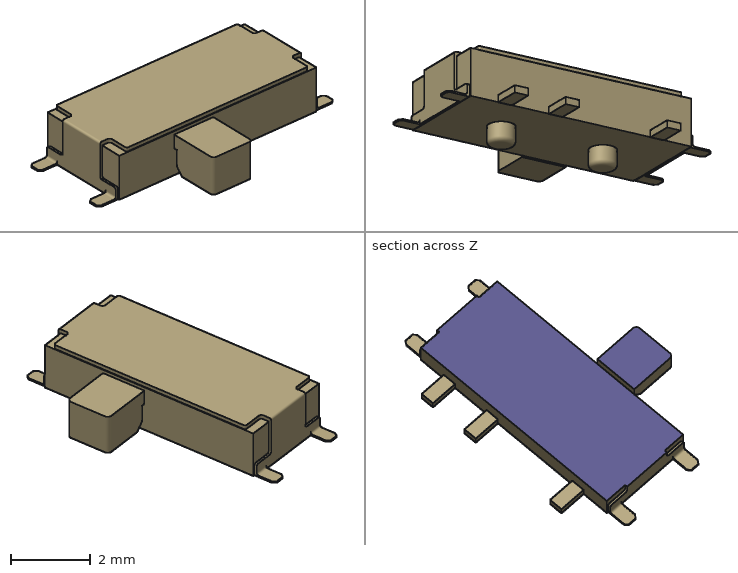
import cadquery as cq

body_width = 2.76
body_length = 6.52
body_bottom = 0.01
body_top = 1.305

total_length = 7.81
cover_top = 1.42
cover_width = 2.72
end_wall = 0.07
cover_length = body_length + 2 * end_wall
neck_width = 1.44
corner_notch_depth = 0.33
notch_inner_radius = 0.08
roof_corner_radius = 0.055
roof_edge_radius = 0.06
flare_width = 2.655
flare_height = 0.36
flare_radius = 0.07

foot_width = 0.4
foot_thickness = 0.05
foot_bend_radius = 0.06
foot_tip_chamfer_x = 0.07
foot_tip_chamfer_y = 0.09

half_pitch = 0.75
lead_positions = [3 * half_pitch, half_pitch, -3 * half_pitch]
lead_width = 0.4
lead_height = 0.195
lead_length = 0.8

knob_length = 1.5
knob_width = 1.3
knob_y = -0.8
knob_top = 1.2
knob_bottom = 0.1
knob_gap = 0.09
knob_neck_bottom = 0.8
knob_chamfer_x = 0.2
knob_chamfer_z = 0.23
knob_edge_radius = 0.12

post_diameter = 0.73
post_length = 0.51
post_edge_radius = 0.12
post_positions = [2 * half_pitch, -2 * half_pitch]

pick_margin = 0.01


def block(x_size, y_size, z_bottom, z_top):
    """Box centred in X and Y between two heights."""
    return cq.Workplane("XY").workplane(offset=z_bottom).rect(x_size, y_size).extrude(z_top - z_bottom)


def make_roof():
    """Roof plate with a narrower tongue reaching over each end of the body."""
    plate_length = cover_length - 2 * corner_notch_depth
    plate = block(cover_width, plate_length, body_top, cover_top).edges("|Z").fillet(roof_corner_radius)
    tongue = block(neck_width, cover_length, body_top, cover_top)
    inner_corner = cq.selectors.BoxSelector(
        (-neck_width / 2 - pick_margin, -plate_length / 2 - pick_margin, 0),
        (neck_width / 2 + pick_margin, plate_length / 2 + pick_margin, cover_top),
    )
    return plate.union(tongue).edges("|Z").edges(inner_corner).fillet(notch_inner_radius)


def make_end_wall():
    """Wall at the -Y end: a neck that flares out just above the seating plane."""
    half_neck = neck_width / 2
    half_flare = flare_width / 2
    outline = [
        (-half_flare, 0),
        (half_flare, 0),
        (half_flare, flare_height),
        (half_neck, flare_height),
        (half_neck, cover_top),
        (-half_neck, cover_top),
        (-half_neck, flare_height),
        (-half_flare, flare_height),
    ]
    wall = cq.Workplane("XZ", origin=(0, -body_length / 2, 0)).polyline(outline).close().extrude(end_wall)
    flare_corners = cq.selectors.BoxSelector(
        (-body_width, -cover_length, flare_height - pick_margin),
        (body_width, 0, flare_height + pick_margin),
    )
    return wall.edges("|Y").edges(flare_corners).fillet(flare_radius)


def make_foot(side):
    """Foot at the -Y end on the given X side, with a rounded bend into the wall."""
    wall_y = -cover_length / 2
    inner_y = -body_length / 2
    tip_y = -total_length / 2
    bend_top = foot_thickness + foot_bend_radius
    centre_x = side * (flare_width - foot_width) / 2
    strip = (
        cq.Workplane("YZ", origin=(centre_x, 0, 0))
        .moveTo(inner_y, 0)
        .lineTo(tip_y, 0)
        .lineTo(tip_y, foot_thickness)
        .lineTo(wall_y - foot_bend_radius, foot_thickness)
        .radiusArc((wall_y, bend_top), -foot_bend_radius)
        .lineTo(inner_y, bend_top)
        .close()
        .extrude(foot_width / 2, both=True)
    )
    left_x = centre_x - foot_width / 2
    right_x = centre_x + foot_width / 2
    plan_outline = [
        (left_x, inner_y),
        (left_x, tip_y + foot_tip_chamfer_y),
        (left_x + foot_tip_chamfer_x, tip_y),
        (right_x - foot_tip_chamfer_x, tip_y),
        (right_x, tip_y + foot_tip_chamfer_y),
        (right_x, inner_y),
    ]
    plan = cq.Workplane("XY").polyline(plan_outline).close().extrude(bend_top)
    return strip.intersect(plan)


def make_cover():
    """Roof with both end walls and their feet."""
    end = make_end_wall().union(make_foot(-1)).union(make_foot(1))
    cover = make_roof().union(end).union(end.mirror("XZ"))
    roof_end_edges = cover.faces(">Z").edges("|X").edges("<Y or >Y")
    return roof_end_edges.fillet(roof_edge_radius)


def make_lead(y):
    """Flat rectangular lead resting on the seating plane."""
    centre_x = -(body_width + lead_length) / 2
    return block(lead_length, lead_width, 0, lead_height).translate((centre_x, y, 0))


def make_knob():
    """Knob joined to the body by a neck, hanging clear of the body side below it."""
    root_x = body_width / 2
    tip_x = root_x + knob_length
    back_x = root_x + knob_gap
    outline = [
        (root_x, knob_top),
        (tip_x, knob_top),
        (tip_x, knob_bottom),
        (back_x + knob_chamfer_x, knob_bottom),
        (back_x, knob_bottom + knob_chamfer_z),
        (back_x, knob_neck_bottom),
        (root_x, knob_neck_bottom),
    ]
    profile = cq.Workplane("XZ", origin=(0, knob_y, 0)).polyline(outline).close()
    knob = profile.extrude(knob_width / 2, both=True)
    return knob.faces(">X").edges("|Z").fillet(knob_edge_radius)


def make_post(y):
    """Round locating post with a rounded lower edge."""
    post = cq.Workplane("XY", origin=(0, y, body_bottom)).circle(post_diameter / 2).extrude(-post_length)
    return post.faces("<Z").edges().fillet(post_edge_radius)


result = block(body_width, body_length, body_bottom, body_top)
result = result.union(make_cover()).union(make_knob())
for lead_y in lead_positions:
    result = result.union(make_lead(lead_y))
for post_y in post_positions:
    result = result.union(make_post(post_y))